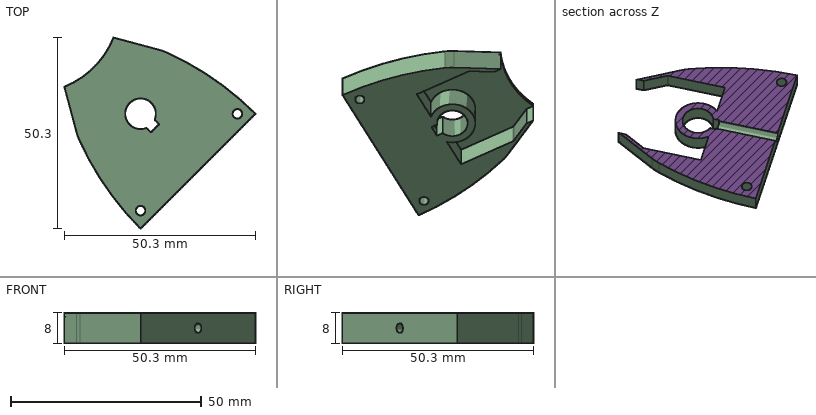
import cadquery as cq
import math

THICKNESS = 8.0
WALL = 1.0
TURN = -45.0

BACK_U = 21.4
BACK_HALF_WIDTH = 21.4
MOUTH_U = -19.2
MOUTH_HALF_WIDTH = 9.15
MOUTH_RADIUS = 23.15
SIDE_RADIUS = 78.95
FLARE_ANGLE = math.radians(30)
SHOULDER_RADIUS = 15.1

BORE_DIAMETER = 8.0
BORE_RADIUS = BORE_DIAMETER / 2
KEYWAY_WIDTH = 3.0
KEYWAY_REACH = 5.4
HOLE_DIAMETER = 2.45
CORNER_HOLE_INSET = 3.35

POCKET_HALF_WIDTH = 12.4
POCKET_END_U = BORE_RADIUS
POCKET_BEND_RADIUS = 0.5
BOSS_RADIUS = BORE_RADIUS + 2 * WALL


def flare_meets_side_arc():
    """Point where the straight flare from the mouth corner runs into the side arc."""
    along = (math.cos(FLARE_ANGLE), math.sin(FLARE_ANGLE))
    offset = (MOUTH_U - BACK_U, MOUTH_HALF_WIDTH - (BACK_HALF_WIDTH - SIDE_RADIUS))
    half_b = offset[0] * along[0] + offset[1] * along[1]
    c = offset[0] ** 2 + offset[1] ** 2 - SIDE_RADIUS ** 2
    length = -half_b + math.sqrt(half_b ** 2 - c)
    return MOUTH_U + length * along[0], MOUTH_HALF_WIDTH + length * along[1]


def side_arc_middle(start_u):
    """Point on the side arc halfway in angle between start_u and the back face."""
    angle = math.asin((BACK_U - start_u) / SIDE_RADIUS) / 2
    drop = SIDE_RADIUS * (1 - math.cos(angle))
    return BACK_U - SIDE_RADIUS * math.sin(angle), BACK_HALF_WIDTH - drop


def round_upright_pair(solid, u, v, radius):
    """Round the two upright edges that stand at (u, v) and (u, -v)."""
    for side_v in (v, -v):
        nearest = cq.selectors.NearestToPointSelector((u, side_v, 0))
        solid = solid.edges("|Z").edges(nearest).fillet(radius)
    return solid


def body():
    shoulder_u, shoulder_v = flare_meets_side_arc()
    middle_u, middle_v = side_arc_middle(shoulder_u)
    mouth_depth = MOUTH_RADIUS - math.sqrt(MOUTH_RADIUS ** 2 - MOUTH_HALF_WIDTH ** 2)
    plate = (
        cq.Workplane("XY")
        .moveTo(MOUTH_U, MOUTH_HALF_WIDTH)
        .lineTo(shoulder_u, shoulder_v)
        .threePointArc((middle_u, middle_v), (BACK_U, BACK_HALF_WIDTH))
        .lineTo(BACK_U, -BACK_HALF_WIDTH)
        .threePointArc((middle_u, -middle_v), (shoulder_u, -shoulder_v))
        .lineTo(MOUTH_U, -MOUTH_HALF_WIDTH)
        .threePointArc((MOUTH_U + mouth_depth, 0), (MOUTH_U, MOUTH_HALF_WIDTH))
        .close()
        .extrude(THICKNESS)
    )
    return round_upright_pair(plate, shoulder_u, shoulder_v, SHOULDER_RADIUS)


def pocket():
    flare_start_u = MOUTH_U + WALL / math.sin(FLARE_ANGLE)
    flare_end_u = flare_start_u + (POCKET_HALF_WIDTH - MOUTH_HALF_WIDTH) / math.tan(FLARE_ANGLE)
    upper = [
        (MOUTH_U, MOUTH_HALF_WIDTH),
        (flare_start_u, MOUTH_HALF_WIDTH),
        (flare_end_u, POCKET_HALF_WIDTH),
        (POCKET_END_U, POCKET_HALF_WIDTH),
    ]
    lower = [(u, -v) for u, v in reversed(upper)]
    depth = THICKNESS - WALL
    boss = cq.Workplane("XY").circle(BOSS_RADIUS).extrude(depth)
    room = cq.Workplane("XY").polyline(upper + lower).close().extrude(depth)
    room = round_upright_pair(room, flare_end_u, POCKET_HALF_WIDTH, POCKET_BEND_RADIUS)
    return room.cut(boss)


def keyed_bore():
    from_axis = (False, True, False)
    keyway = cq.Workplane("XY").box(KEYWAY_REACH, KEYWAY_WIDTH, THICKNESS, centered=from_axis)
    return cq.Workplane("XY").circle(BORE_RADIUS).extrude(THICKNESS).union(keyway)


def corner_holes():
    hole_u = BACK_U - CORNER_HOLE_INSET
    hole_v = BACK_HALF_WIDTH - CORNER_HOLE_INSET
    centres = [(hole_u, hole_v), (hole_u, -hole_v)]
    return cq.Workplane("XY").pushPoints(centres).circle(HOLE_DIAMETER / 2).extrude(THICKNESS)


def set_screw_hole():
    """Level hole from the middle of the back face into the keyway."""
    return cq.Workplane("YZ").center(0, THICKNESS / 2).circle(HOLE_DIAMETER / 2).extrude(BACK_U)


part = body().cut(pocket()).cut(keyed_bore()).cut(corner_holes()).cut(set_screw_hole())
result = part.rotate((0, 0, 0), (0, 0, 1), TURN)